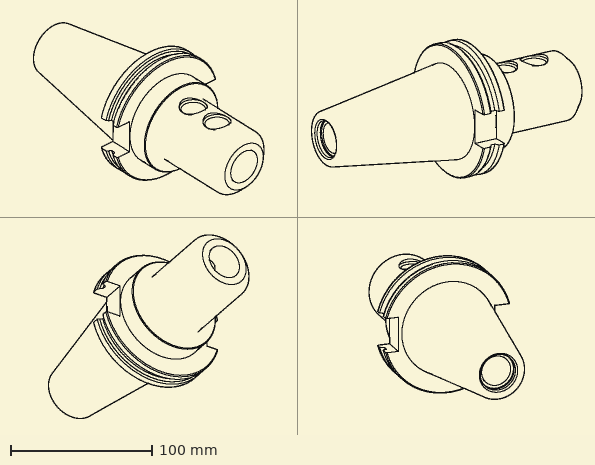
import cadquery as cq
import math

total_length = 203.2

gauge_x = 101.6
gauge_radius = 35.0
taper_ratio = 7 / 24
small_end_radius = gauge_radius - gauge_x * taper_ratio / 2
small_end_fillet = 2.0

flange_start = 102.8
flange_end = 120.7
flange_radius = 48.67
flange_chamfer = 0.8
groove_center_x = 112.5
groove_depth = 3.0
groove_floor_width = 3.3
groove_flank_angle = 30.0
groove_lip = 0.6

slot_width = 25.6
slot_floor_front = 35.4
slot_floor_back = 37.5

hub_end = 136.5
hub_chamfer = 0.6
shank_radius = 25.5
shank_root_fillet = 1.8
nose_chamfer = 7.1
nose_fillet = 2.0

through_diameter = 22.0
drawbar_diameter = 26.6
drawbar_depth = 3.9
drawbar_seat_diameter = 26.2
drawbar_seat_depth = 4.9
drawbar_chamfer = 1.2
tool_bore_diameter = 25.5
tool_bore_depth = 71.1

screw_xs = (149.0, 174.4)
screw_diameter = 17.3
screw_mouth_diameter = 20.0


def turned(points):
    """Revolve a closed (x, radius) outline about the X axis."""
    return cq.Workplane("XY").polyline(points).close().revolve(360, (0, 0, 0), (1, 0, 0))


def x_cylinder(start, length, diameter):
    return cq.Workplane("YZ", origin=(start, 0, 0)).circle(diameter / 2).extrude(length)


def make_taper():
    taper = turned([
        (0, 0),
        (0, small_end_radius),
        (gauge_x, gauge_radius),
        (flange_start, gauge_radius),
        (flange_start, 0),
    ])
    return taper.faces("<X").edges().fillet(small_end_fillet)


def make_flange():
    flange = x_cylinder(flange_start, flange_end - flange_start, 2 * flange_radius)
    flange = flange.edges().chamfer(flange_chamfer)
    half_floor = groove_floor_width / 2
    half_mouth = half_floor + groove_depth * math.tan(math.radians(groove_flank_angle))
    floor_radius = flange_radius - groove_depth
    groove = turned([
        (groove_center_x - half_floor, floor_radius),
        (groove_center_x - half_mouth, flange_radius),
        (groove_center_x + half_mouth, flange_radius),
        (groove_center_x + half_floor, floor_radius),
    ])
    lip = turned([
        (groove_center_x - half_mouth - groove_lip, flange_radius),
        (groove_center_x, flange_radius),
        (groove_center_x, flange_radius - 2 * groove_lip),
        (groove_center_x - half_mouth + groove_lip, flange_radius - 2 * groove_lip),
    ])
    return flange.cut(groove).cut(lip)


def make_drive_slot(side, floor):
    """Slot open outwards in Y; side is -1 or +1."""
    depth = flange_radius
    return (
        cq.Workplane("XY")
        .box(flange_end - flange_start, depth, slot_width, centered=(False, True, True))
        .translate((flange_start, side * (floor + depth / 2), 0))
    )


def make_hub():
    hub = x_cylinder(flange_start, hub_end - flange_start, 2 * gauge_radius)
    return hub.faces(">X").edges().chamfer(hub_chamfer)


def make_shank():
    shank = turned([
        (flange_end, 0),
        (flange_end, shank_radius),
        (total_length - nose_chamfer, shank_radius),
        (total_length, shank_radius - nose_chamfer),
        (total_length, 0),
    ])
    return shank.faces("%CYLINDER").edges(">X").fillet(nose_fillet)


def make_root_fillet():
    """Ring with a concave arc between the hub face and the shank."""
    fillet = shank_root_fillet
    arc_offset = fillet * (1 - math.sqrt(0.5))
    return (
        cq.Workplane("XY")
        .moveTo(hub_end, shank_radius - fillet)
        .lineTo(hub_end, shank_radius + fillet)
        .threePointArc(
            (hub_end + arc_offset, shank_radius + arc_offset), (hub_end + fillet, shank_radius)
        )
        .lineTo(hub_end + fillet, shank_radius - fillet)
        .close()
        .revolve(360, (0, 0, 0), (1, 0, 0))
    )


def make_bores():
    mouth_radius = drawbar_diameter / 2 + drawbar_chamfer
    mouth = turned([
        (0, 0),
        (0, mouth_radius),
        (drawbar_chamfer, drawbar_diameter / 2),
        (drawbar_depth, drawbar_diameter / 2),
        (drawbar_depth, drawbar_seat_diameter / 2),
        (drawbar_seat_depth, drawbar_seat_diameter / 2),
        (drawbar_seat_depth, 0),
    ])
    through = x_cylinder(0, total_length, through_diameter)
    tool_bore = x_cylinder(total_length - tool_bore_depth, tool_bore_depth, tool_bore_diameter)
    return mouth.union(through).union(tool_bore)


def make_screw_hole(x):
    """Radial hole from the tool bore up, with a conical mouth at the shank surface."""
    hole = cq.Workplane("XY", origin=(x, 0, 0)).circle(screw_diameter / 2).extrude(shank_radius)
    mouth_depth = (screw_mouth_diameter - screw_diameter) / 2
    mouth_floor = math.sqrt(shank_radius**2 - (screw_mouth_diameter / 2) ** 2) - mouth_depth
    cone = (
        cq.Workplane("XY", origin=(x, 0, mouth_floor))
        .circle(screw_diameter / 2)
        .workplane(offset=mouth_depth)
        .circle(screw_mouth_diameter / 2)
        .loft()
    )
    relief = (
        cq.Workplane("XY", origin=(x, 0, mouth_floor + mouth_depth))
        .circle(screw_mouth_diameter / 2)
        .extrude(shank_radius)
    )
    return hole.union(cone).union(relief)


body = make_flange().union(make_hub())
body = body.cut(make_drive_slot(-1, slot_floor_front)).cut(make_drive_slot(1, slot_floor_back))
body = body.union(make_taper()).union(make_shank()).union(make_root_fillet())
body = body.cut(make_bores())
for screw_x in screw_xs:
    body = body.cut(make_screw_hole(screw_x))

result = body